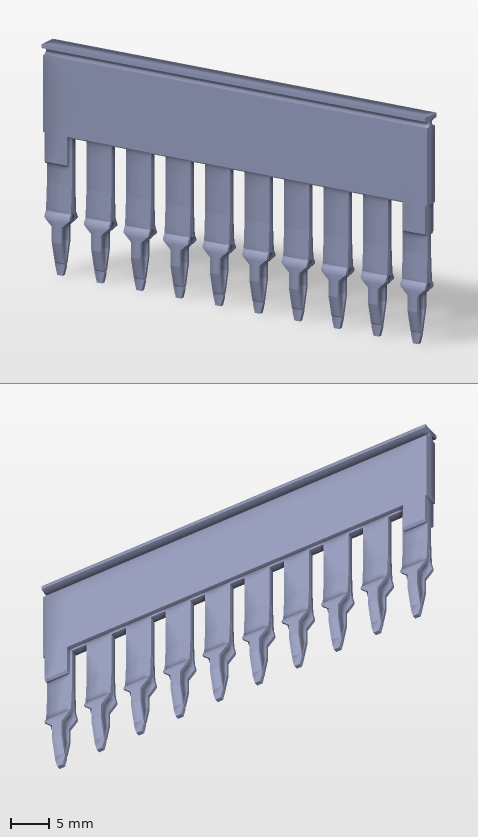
import cadquery as cq
import math


length = 59.3
flange_width = 2.8
flange_side_z = -0.55
flange_root_z = -0.85
neck_width = 0.6
neck_bottom_z = -1.25
neck_foot_width = 1.3
body_width = 2.0
body_top_z = -1.6
body_bottom_z = -12.15
leg_bottom_z = -16.4
leg_width = 3.45
leg_chamfer = 0.3

pin_count = 10
pin_pitch = 6.1
blade_width = 3.85
end_notch = 0.6
spine_top_z = -2.95
spine_bottom_z = -12.5
shoulder_top_z = -23.7
shoulder_bottom_z = -24.85
stem_width = 1.5
taper_top_z = -30.35
tip_width = 0.85
tip_z = -31.6

leaf = 0.4
split_z = -18.9
flare_y = 0.65
flare_z = -22.9
bulge_y = 1.1
bulge_z = -24.15
closing_z = -27.0
closed_z = -29.8
tip_half = 0.3
tip_top_z = -30.0

flare_angle = 2 * math.atan((bulge_y - flare_y) / (flare_z - bulge_z))
bend_radius = (flare_z - bulge_z) / math.sin(flare_angle)

pin_centers = [(i - (pin_count - 1) / 2) * pin_pitch for i in range(pin_count)]
blade_left = pin_centers[0] - blade_width / 2
blade_right = pin_centers[-1] + blade_width / 2


def box(x_min, x_max, width, z_min, z_max):
    """Block centred on Y = 0."""
    size = (x_max - x_min, width, z_max - z_min)
    return cq.Workplane("XY").box(*size, centered=(False, True, False)).translate((x_min, 0, z_min))


def extrude_along_bar(profile):
    """Extrude a YZ outline over the full length of the bar."""
    return profile.extrude(length / 2, both=True)


def housing_upper():
    """Flange, neck and body as one constant section."""
    half_section = [
        (0, 0),
        (flange_width / 2, 0),
        (flange_width / 2, flange_side_z),
        (neck_width / 2, flange_root_z),
        (neck_width / 2, neck_bottom_z),
        (neck_foot_width / 2, body_top_z),
        (body_width / 2, body_top_z),
        (body_width / 2, body_bottom_z),
        (0, body_bottom_z),
    ]
    return extrude_along_bar(cq.Workplane("YZ").polyline(half_section).mirrorY())


def housing_leg(x_min):
    """Leg over an outermost blade, chamfered along its lower long edges."""
    leg = box(x_min, x_min + leg_width, body_width, leg_bottom_z, body_bottom_z)
    return leg.edges("|X and <Z").chamfer(leg_chamfer)


def arc_point(radius, angle):
    """Point on the bend, measured from its centre; angle 0 points straight outward."""
    return (bulge_y - bend_radius + radius * math.cos(angle), bulge_z + radius * math.sin(angle))


def comb_section():
    """Side profile of the comb: solid sheet, two bowed leaves and a closed tip."""
    outer = (
        cq.Workplane("YZ")
        .moveTo(0, spine_top_z)
        .lineTo(leaf, spine_top_z)
        .lineTo(leaf, split_z)
        .lineTo(flare_y, flare_z)
        .threePointArc(arc_point(bend_radius, flare_angle / 2), arc_point(bend_radius, 0))
        .lineTo(bulge_y, closing_z)
        .lineTo(leaf, closed_z)
        .lineTo(tip_half, tip_top_z)
        .lineTo(tip_half, tip_z)
        .lineTo(0, tip_z)
        .mirrorY()
    )
    inner_radius = bend_radius - leaf
    miter_drop = leaf * math.tan(flare_angle / 2)
    inner_y = bulge_y - leaf
    opening = (
        cq.Workplane("YZ")
        .moveTo(0, split_z)
        .lineTo(flare_y - leaf, flare_z - miter_drop)
        .lineTo(*arc_point(inner_radius, flare_angle))
        .threePointArc(arc_point(inner_radius, flare_angle / 2), arc_point(inner_radius, 0))
        .lineTo(inner_y, closing_z)
        .lineTo(0, closed_z)
        .mirrorY()
    )
    return extrude_along_bar(outer).cut(extrude_along_bar(opening))


def pin_outline(center_x):
    """Front shape of one pin: wide blade, sloped shoulders, narrow stem and tapered tip."""
    right_side = [
        (blade_width / 2, spine_top_z),
        (blade_width / 2, shoulder_top_z),
        (stem_width / 2, shoulder_bottom_z),
        (stem_width / 2, taper_top_z),
        (tip_width / 2, tip_z),
    ]
    left_side = [(-x, z) for x, z in reversed(right_side)]
    outline = cq.Workplane("XZ").polyline(right_side + left_side).close()
    return outline.extrude(flange_width / 2, both=True).translate((center_x, 0, 0))


def make_comb():
    """Spine and pins cut from the sheet section, the end blades notched inside the housing."""
    front_shape = box(blade_left, blade_right, flange_width, spine_bottom_z, spine_top_z)
    for center_x in pin_centers:
        front_shape = front_shape.union(pin_outline(center_x))
    for notch_left in (blade_left, blade_right - end_notch):
        notch_right = notch_left + end_notch
        front_shape = front_shape.cut(box(notch_left, notch_right, flange_width, leg_bottom_z, spine_top_z))
    return comb_section().intersect(front_shape)


def make_housing(comb):
    """Housing with a recess that matches the comb."""
    housing = housing_upper()
    for leg_left in (blade_left, blade_right - leg_width):
        housing = housing.union(housing_leg(leg_left))
    return housing.cut(comb)


comb = make_comb()
housing = make_housing(comb)
result = cq.Compound.makeCompound([housing.solids().val(), comb.solids().val()])